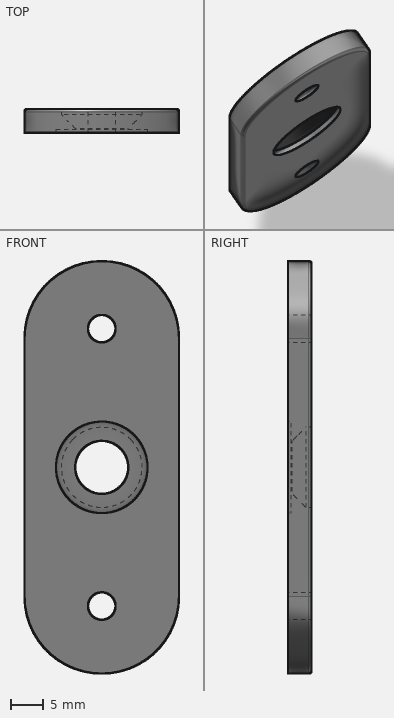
import cadquery as cq

length = 64.0
width = 24.0
thickness = 3.7
rear_edge_radius = 0.48

mount_hole_diameter = 4.2
mount_hole_spacing = 43.0

recess_diameter = 14.2
recess_depth = 0.5
lip_diameter = 8.2
lip_thickness = 0.16
counterbore_diameter = 12.5
cone_depth = (counterbore_diameter - lip_diameter) / 2

front_y = -thickness / 2
rear_y = thickness / 2


def rounded_plate():
    """Plate with semicircular ends and the rear rim rounded over."""
    outline = cq.Workplane("XZ", origin=(0, rear_y, 0)).slot2D(length, width, 90)
    return outline.extrude(thickness).faces(">Y").edges().fillet(rear_edge_radius)


def mount_holes():
    """Two through holes on the vertical centre line."""
    hole_positions = [(0, side * mount_hole_spacing / 2) for side in (-1, 1)]
    start = cq.Workplane("XZ", origin=(0, rear_y, 0))
    return start.pushPoints(hole_positions).circle(mount_hole_diameter / 2).extrude(thickness)


def central_opening():
    """Stepped opening, turned about the Y axis from its half profile."""
    recess_floor_y = front_y + recess_depth
    cone_start_y = recess_floor_y + lip_thickness
    cone_end_y = cone_start_y + cone_depth
    half_profile = [
        (0, front_y),
        (recess_diameter / 2, front_y),
        (recess_diameter / 2, recess_floor_y),
        (lip_diameter / 2, recess_floor_y),
        (lip_diameter / 2, cone_start_y),
        (counterbore_diameter / 2, cone_end_y),
        (counterbore_diameter / 2, rear_y),
        (0, rear_y),
    ]
    return cq.Workplane("XY").polyline(half_profile).close().revolve(360, (0, 0, 0), (0, 1, 0))


result = rounded_plate().cut(mount_holes()).cut(central_opening())